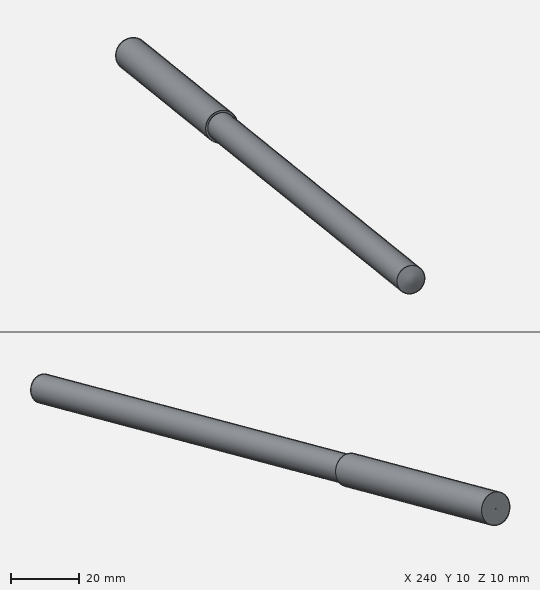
import cadquery as cq
import math

overall_length = 240.0
shank_diameter = 10.0
shank_length = 77.0
body_diameter = 8.7
point_angle = 150.0
center_hole_diameter = 0.1
center_hole_depth = 1.0

shank_radius = shank_diameter / 2
body_radius = body_diameter / 2
point_length = body_radius / math.tan(math.radians(point_angle / 2))
shank_end = -overall_length / 2
shoulder = shank_end + shank_length
tip = overall_length / 2
point_base = tip - point_length


def turned_blank():
    """Stepped rod with a conical point, revolved from its half profile."""
    half_profile = (
        cq.Workplane("XY")
        .moveTo(shank_end, 0)
        .lineTo(shank_end, shank_radius)
        .lineTo(shoulder, shank_radius)
        .lineTo(shoulder, body_radius)
        .lineTo(point_base, body_radius)
        .lineTo(tip, 0)
        .close()
    )
    return half_profile.revolve(360, (0, 0, 0), (1, 0, 0))


def center_hole():
    """Pinhole on the axis, sunk into the flat end of the shank."""
    end_plane = cq.Workplane("YZ", origin=(shank_end, 0, 0))
    return end_plane.circle(center_hole_diameter / 2).extrude(center_hole_depth)


result = turned_blank().cut(center_hole())